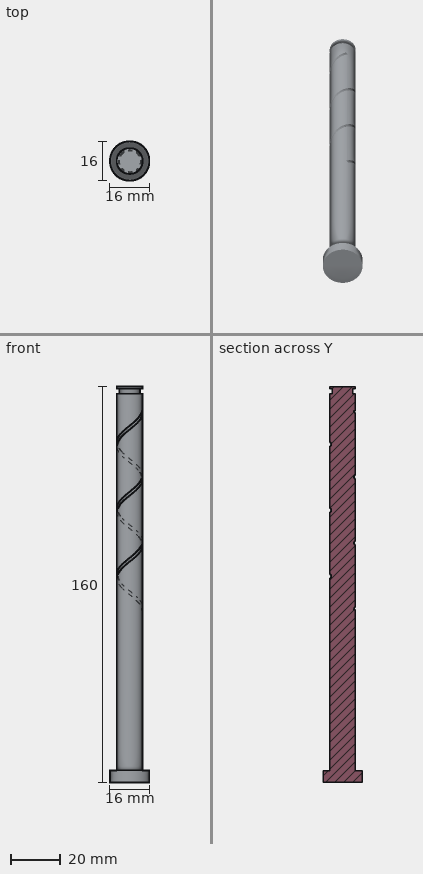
import cadquery as cq
import math

total_length = 160.0
head_diameter = 16.0
head_height = 5.0
shaft_diameter = 10.5

tip_rim_height = 1.0
ring_groove_width = 2.0
ring_groove_diameter = 8.5

helix_turns = 3
helix_length = 80.0
helix_pitch = helix_length / helix_turns
helix_end_below_tip = 10.0
helix_start_z = total_length - helix_end_below_tip - helix_length
helix_groove_radius = 0.6


def make_pin():
    """Cylindrical head with a longer, thinner shaft standing on it."""
    head = cq.Workplane("XY").circle(head_diameter / 2).extrude(head_height)
    shaft = cq.Workplane("XY").circle(shaft_diameter / 2).extrude(total_length)
    return head.union(shaft)


def make_ring_groove():
    """Ring to remove below the rim at the tip."""
    groove_bottom_z = total_length - tip_rim_height - ring_groove_width
    return (
        cq.Workplane("XY", origin=(0, 0, groove_bottom_z))
        .circle(head_diameter / 2)
        .circle(ring_groove_diameter / 2)
        .extrude(ring_groove_width)
    )


def make_helical_groove():
    """Round bar wound on the shaft surface, which cuts a half-round groove."""
    shaft_radius = shaft_diameter / 2
    start = cq.Vector(shaft_radius, 0, helix_start_z)
    start_direction = cq.Vector(0, 2 * math.pi * shaft_radius, helix_pitch)
    path = cq.Wire.makeHelix(helix_pitch, helix_length, shaft_radius, center=cq.Vector(0, 0, helix_start_z))
    section_plane = cq.Plane(origin=start, xDir=(1, 0, 0), normal=start_direction)
    return cq.Workplane(section_plane).circle(helix_groove_radius).sweep(path, isFrenet=True)


result = make_pin().cut(make_ring_groove()).cut(make_helical_groove())